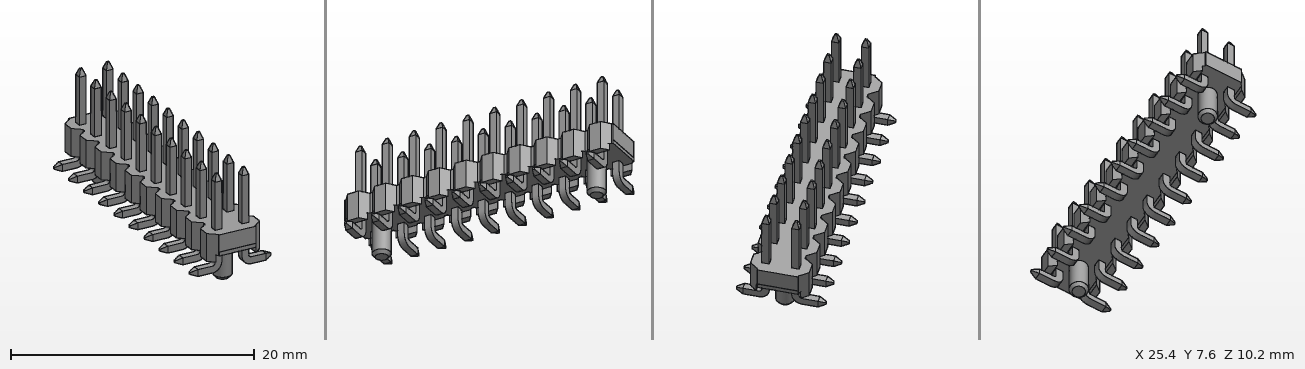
import cadquery as cq

columns = 10
pitch = 2.55

body_top = 3.84
plate_bottom = 1.93
skirt_bottom = 1.3
skirt_inner_y = 1.88
body_half_width = 2.5
notch_y = 1.73
cell_flat = 1.05
notch_flat = 0.28
body_length = 25.37

lip_projection = 0.03
lip_height = 0.35

pin_width = 0.64
pin_top = 8.81
pin_tip_width = 0.18
pin_tip_length = 0.6
foot_span = 7.6
bend_inner_radius = 0.25
bend_outer_radius = bend_inner_radius + pin_width

peg_diameter = 1.6
peg_bottom = -1.4
peg_chamfer_height = 0.3
peg_chamfer_width = 0.25

column_xs = [(i - (columns - 1) / 2) * pitch for i in range(columns)]
row_y = pitch / 2
peg_x = column_xs[-1] - pitch / 2


def scalloped_edge():
    """Points along the +Y edge of the body, from -X to +X."""
    cell_half = (pitch - notch_flat) / 2
    points = [(-body_length / 2, notch_y)]
    for x in column_xs:
        points.append((x - cell_half, notch_y))
        points.append((x - cell_flat / 2, body_half_width))
        points.append((x + cell_flat / 2, body_half_width))
        points.append((x + cell_half, notch_y))
    points.append((body_length / 2, notch_y))
    return points


def make_body():
    far_edge = scalloped_edge()
    near_edge = [(x, -y) for x, y in reversed(far_edge)]
    body = (
        cq.Workplane("XY", origin=(0, 0, skirt_bottom))
        .polyline(far_edge + near_edge)
        .close()
        .extrude(body_top - skirt_bottom)
    )
    channel = cq.Workplane("XY", origin=(0, 0, skirt_bottom)).box(
        body_length, 2 * skirt_inner_y, plate_bottom - skirt_bottom, centered=(True, True, False)
    )
    lip = cq.Workplane("XY", origin=(body_length / 2, 0, plate_bottom)).box(
        2 * lip_projection, 2 * notch_y, lip_height, centered=(True, True, False)
    )
    return body.cut(channel).union(lip)


def make_tip(plane):
    """Pyramid-shaped pin tip growing from the given plane."""
    return (
        cq.Workplane(plane)
        .rect(pin_width, pin_width)
        .workplane(offset=pin_tip_length)
        .rect(pin_tip_width, pin_tip_width)
        .loft(ruled=True)
    )


def make_pin():
    """Pin of the +Y row at X = 0, its foot pointing toward +Y."""
    inner_y = row_y - pin_width / 2
    outer_y = row_y + pin_width / 2
    shaft_end = pin_top - pin_tip_length
    foot_end = foot_span / 2 - pin_tip_length
    bend_y = inner_y + bend_outer_radius
    bend_z = bend_outer_radius
    shank = (
        cq.Workplane("YZ", origin=(-pin_width / 2, 0, 0))
        .moveTo(inner_y, shaft_end)
        .lineTo(inner_y, bend_z)
        .radiusArc((bend_y, 0), -bend_outer_radius)
        .lineTo(foot_end, 0)
        .lineTo(foot_end, pin_width)
        .lineTo(bend_y, pin_width)
        .radiusArc((outer_y, bend_z), bend_inner_radius)
        .lineTo(outer_y, shaft_end)
        .close()
        .extrude(pin_width)
    )
    top_plane = cq.Plane(origin=(0, row_y, shaft_end), xDir=(1, 0, 0), normal=(0, 0, 1))
    foot_plane = cq.Plane(origin=(0, foot_end, pin_width / 2), xDir=(1, 0, 0), normal=(0, 1, 0))
    return shank.union(make_tip(top_plane)).union(make_tip(foot_plane))


def make_peg(x):
    radius = peg_diameter / 2
    return (
        cq.Workplane("XY", origin=(x, 0, peg_bottom))
        .circle(radius)
        .extrude(plate_bottom - peg_bottom)
        .faces("<Z")
        .chamfer(peg_chamfer_height, peg_chamfer_width)
    )


result = make_body()
for side in (-1, 1):
    result = result.union(make_peg(side * peg_x))

far_pin = make_pin()
near_pin = far_pin.mirror("XZ")
for x in column_xs:
    for pin in (far_pin, near_pin):
        result = result.union(pin.translate((x, 0, 0)))